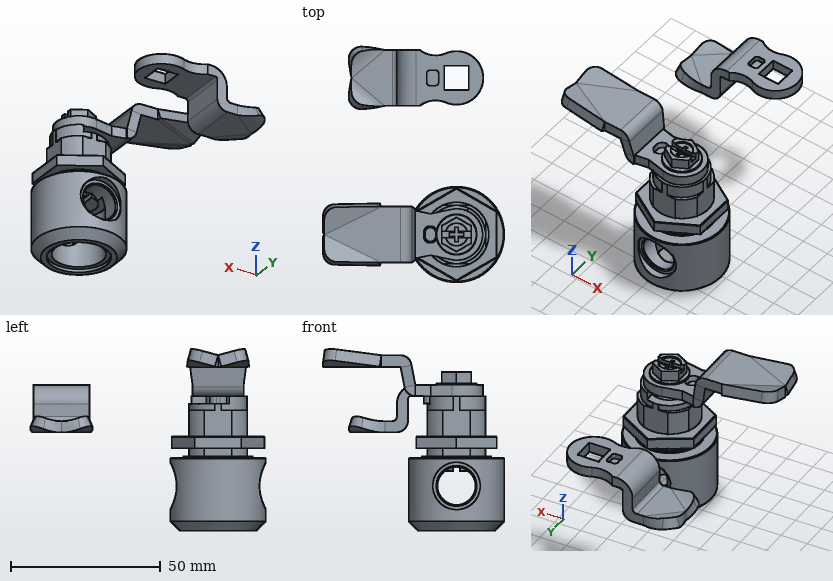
import cadquery as cq
import math

knob_diameter = 32.0
knob_height = 24.45
knob_foot_chamfer = 3.2
knob_top_chamfer = 0.3
cross_hole_height = 15.1
cross_hole_diameter = 12.7
cross_hole_mouth_diameter = 13.6
cross_recess_diameter = 15.85
cross_recess_floor = 13.4
keyway_diameter = 18.3
keyway_mouth_diameter = 21.6
keyway_mouth_depth = 1.2

gasket_diameter = 23.5
gasket_thickness = 0.5
gasket_taper = 20.0

sleeve_diameter = 21.6
sleeve_flat = 9.8
sleeve_top = 45.1
neck_diameter = 19.4
neck_base = 40.3
rib_width = 2.2
stop_ledge = 42.5
stop_offset = 3.7

nut_across_flats = 27.0
nut_base = 27.6
nut_thickness = 4.0
nut_chamfer = 0.2

rotor_diameter = 13.0
rotor_base = 20.0
rotor_slot_width = 2.2
rotor_slot_depth = 1.9
drive_square = 8.05
rotor_neck_diameter = drive_square

flange_diameter = 13.6
flange_thickness = 0.5
flange_chamfer = 0.15
hex_across_flats = 9.9
hex_height = 3.9
dish_diameter = 7.6
dish_depth = 0.6
driver_slot_width = 2.2
driver_slot_depth = 1.9
cross_length = 4.9
cross_width = 1.0
cross_depth = 1.3

cam_thickness = 3.8
cam_half_width = 9.4
cam_top = sleeve_top + cam_thickness

cam_end_radius = 8.6
cam_end_x = 0.15
cam_bend_x = -13.7
cam_riser_tilt = 11.0
cam_tongue_base = 54.8
cam_tongue_thickness = 4.0
cam_tip_x = -44.25
cam_fold_x = -25.15
cam_corner_radius = 3.95
cam_wing_angle = 17.0
cam_bend_half_width = 8.5
neck_flare_half_width = 8.0
neck_waist_x = -8.7
neck_waist_half_width = 6.95
dimple_x = -8.75
dimple_length = 4.5
dimple_width = 5.7
dimple_draft = 0.5
dimple_depth = 1.9
peg_height = 2.5

spare_y = 52.4
spare_end_radius = 9.0
spare_waist_x = -6.7
spare_waist_half_width = 7.6
spare_shoulder_x = -12.3
spare_wall_x = -19.95
spare_upper_outer_bend = 6.3
spare_upper_inner_bend = 1.0
spare_lower_outer_bend = 3.95
spare_lower_inner_bend = 1.6
spare_tongue_base = 33.0
spare_tip_x = -35.2
spare_fold_x = -24.05
spare_corner_reach = 6.2
spare_corner_radius = 3.95
spare_roll_radius = 8.7
spare_dimple_x = -8.0
spare_dimple_length = 3.95
spare_dimple_width = 5.1
spare_dimple_corner = 1.0

reach = 47.3


def cylinder(diameter, bottom, top):
    return cq.Workplane("XY").workplane(offset=bottom).circle(diameter / 2).extrude(top - bottom)


def box(x_range, y_range, z_range):
    spans = [high - low for low, high in (x_range, y_range, z_range)]
    corner = (x_range[0], y_range[0], z_range[0])
    return cq.Workplane("XY").box(*spans, centered=False).translate(corner)


def hexagon(across_flats, bottom, height):
    """Hexagonal prism with flats facing +X and -X."""
    across_corners = across_flats / math.cos(math.radians(30))
    prism = cq.Workplane("XY").polygon(6, across_corners).extrude(height)
    return prism.rotate((0, 0, 0), (0, 0, 1), 30).translate((0, 0, bottom))


def make_knob():
    knob = cylinder(knob_diameter, 0, knob_height)
    knob = knob.faces("<Z").chamfer(knob_foot_chamfer)
    knob = knob.faces(">Z").chamfer(knob_top_chamfer)
    knob = knob.cut(cylinder(rotor_diameter, 0, knob_height))
    knob = knob.cut(cylinder(keyway_diameter, 0, rotor_base))
    knob = knob.cut(cylinder(keyway_mouth_diameter, 0, keyway_mouth_depth))

    middle = cq.Workplane("XZ", origin=(0, 0, cross_hole_height))
    knob = knob.cut(middle.circle(cross_hole_diameter / 2).extrude(reach, both=True))
    mouth_chamfer = (cross_hole_mouth_diameter - cross_hole_diameter) / 2
    for side in (-1, 1):
        floor = cq.Workplane("XZ", origin=(0, side * cross_recess_floor, cross_hole_height))
        recess = floor.circle(cross_recess_diameter / 2).extrude(-side * reach)
        mouth = (
            floor.circle(cross_hole_mouth_diameter / 2)
            .workplane(offset=side * mouth_chamfer)
            .circle(cross_hole_diameter / 2)
            .loft()
        )
        knob = knob.cut(recess).cut(mouth)
    return knob


def make_gasket():
    top = knob_height + gasket_thickness
    disc = cq.Workplane("XY").workplane(offset=knob_height).circle(gasket_diameter / 2)
    gasket = disc.extrude(gasket_thickness, taper=gasket_taper)
    return gasket.cut(cylinder(sleeve_diameter, knob_height, top))


def make_sleeve():
    across = (-sleeve_flat, sleeve_flat)
    sleeve = cylinder(sleeve_diameter, knob_height, sleeve_top)
    sleeve = sleeve.intersect(box(across, across, (knob_height, sleeve_top)))

    rib = (-rib_width / 2, rib_width / 2)
    neck_span = (neck_base, sleeve_top)
    neck = cylinder(neck_diameter, *neck_span)
    neck = neck.union(box(across, rib, neck_span)).union(box(rib, across, neck_span))
    sleeve = sleeve.cut(box((-reach, reach), (-reach, reach), neck_span).cut(neck))

    stop_gap = box((-reach, stop_offset), (-stop_offset, reach), (stop_ledge, sleeve_top))
    sleeve = sleeve.cut(stop_gap)
    sleeve = sleeve.cut(cylinder(rotor_diameter, knob_height, stop_ledge))
    return sleeve.cut(cylinder(rotor_neck_diameter, stop_ledge, sleeve_top))


def make_nut():
    nut = hexagon(nut_across_flats, nut_base, nut_thickness).faces(">Z").chamfer(nut_chamfer)
    return nut.cut(cylinder(sleeve_diameter, nut_base, nut_base + nut_thickness))


def make_rotor():
    rotor = cylinder(rotor_diameter, rotor_base, stop_ledge)
    rotor = rotor.union(cylinder(rotor_neck_diameter, stop_ledge, sleeve_top))
    square = (-drive_square / 2, drive_square / 2)
    rotor = rotor.union(box(square, square, (sleeve_top, cam_top)))
    half_slot = rotor_slot_width / 2
    slot_span = (rotor_base, rotor_base + rotor_slot_depth)
    return rotor.cut(box((-half_slot, half_slot), (-reach, reach), slot_span))


def make_screw():
    flange_top = cam_top + flange_thickness
    hex_top = flange_top + hex_height
    screw = cylinder(flange_diameter, cam_top, flange_top).faces(">Z").chamfer(flange_chamfer)
    screw = screw.union(hexagon(hex_across_flats, flange_top, hex_height))
    screw = screw.cut(cylinder(dish_diameter, hex_top - dish_depth, hex_top))

    half_slot = driver_slot_width / 2
    slot_floor = hex_top - driver_slot_depth
    screw = screw.cut(box((-reach, reach), (-half_slot, half_slot), (slot_floor, hex_top)))

    long_side = (-cross_length / 2, cross_length / 2)
    short_side = (-cross_width / 2, cross_width / 2)
    cross_span = (slot_floor - cross_depth, hex_top)
    for x_range, y_range in ((long_side, short_side), (short_side, long_side)):
        screw = screw.cut(box(x_range, y_range, cross_span))
    return screw


def round_edge(body, x, y, z, radius):
    """Round the edge whose middle lies at (x, y, z)."""
    return body.edges(cq.selectors.NearestToPointSelector((x, y, z))).fillet(radius)


def square_hole():
    square = (-drive_square / 2, drive_square / 2)
    return box(square, square, (sleeve_top, cam_top))


def fold_line(tip_x, fold_x, top):
    """Plane with X along the fold from the tip point to the side edge, Y outwards across it and Z up."""
    along = (fold_x - tip_x, cam_half_width, 0)
    return cq.Plane(origin=(tip_x, 0, top), xDir=along, normal=(0, 0, 1))


def make_folded_wing(tip_x, fold_x, base, thickness, angle, corner_radius):
    """Flat corner turned up about the top edge of the fold, with the gap under the fold filled."""
    fold = fold_line(tip_x, fold_x, base + thickness)
    fold_length = math.hypot(fold_x - tip_x, cam_half_width)
    corner = (
        cq.Workplane("XY")
        .workplane(offset=base)
        .polyline([(tip_x, 0), (fold_x, cam_half_width), (tip_x, cam_half_width)])
        .close()
        .extrude(thickness)
    )
    corner = round_edge(corner, tip_x, cam_half_width, base + thickness / 2, corner_radius)
    fold_end = fold.toWorldCoords((fold_length, 0, 0)).toTuple()
    corner = corner.rotate(fold.origin.toTuple(), fold_end, angle)

    upright = cq.Plane(origin=fold.origin, xDir=fold.xDir, normal=-fold.yDir)
    gap = (
        cq.Workplane(upright)
        .polyline([(0, 0), (fold_length, 0), (fold_length, -thickness), (0, -thickness)])
        .close()
        .revolve(angle, (0, 0), (1, 0))
    )
    return corner.union(gap)


def make_rolled_wing(tip_x, fold_x, base, thickness, roll_radius, corner_reach, corner_radius):
    """Corner rolled up smoothly from the fold; its edges stand square to the rolled surface."""
    top = base + thickness
    fold = fold_line(tip_x, fold_x, top)
    outer_radius = roll_radius + thickness
    square_corner = cq.Vector(tip_x, cam_half_width, top)
    corner_along = fold.toLocalCoords(square_corner).x
    corner_turn = corner_reach / roll_radius

    section = cq.Plane(origin=fold.origin, xDir=fold.yDir, normal=fold.xDir)
    ring = cq.Workplane(section).center(0, roll_radius).circle(outer_radius).circle(roll_radius)
    shell = ring.extrude(reach, both=True)
    quarter = (
        cq.Workplane(section)
        .rect(outer_radius, thickness + roll_radius, centered=False)
        .extrude(reach, both=True)
        .translate((0, 0, -thickness))
    )
    shell = shell.intersect(quarter)

    def rolled_corner(radius):
        across = radius * math.sin(corner_turn)
        rise = roll_radius - radius * math.cos(corner_turn)
        return fold.toWorldCoords((corner_along, across, rise))

    under_corner = rolled_corner(outer_radius)
    top_corner = rolled_corner(roll_radius)
    lean = (top_corner - under_corner) * (1 / (top_corner.z - under_corner.z))

    def corner_at(height):
        return under_corner + lean * (height - under_corner.z)

    def outline_at(height):
        end = corner_at(height)
        return cq.Wire.makePolygon(
            [cq.Vector(tip_x, 0, height), cq.Vector(fold_x, cam_half_width, height), end], close=True
        )

    ceiling = top + roll_radius / 2
    outline = cq.Workplane(cq.Solid.makeLoft([outline_at(base), outline_at(ceiling)], True))
    middle = corner_at((base + ceiling) / 2)
    outline = round_edge(outline, middle.x, middle.y, middle.z, corner_radius)
    return shell.intersect(outline)


def make_tongue(tip_x, root_x, fold_x, base, thickness, wing):
    """Flat tongue, pointed between its fold lines, with the wing on both sides."""
    middle = (
        cq.Workplane("XY")
        .workplane(offset=base)
        .polyline([
            (tip_x, 0),
            (fold_x, cam_half_width),
            (root_x, cam_half_width),
            (root_x, -cam_half_width),
            (fold_x, -cam_half_width),
        ])
        .close()
        .extrude(thickness)
    )
    return middle.union(wing).union(wing.mirror("XZ"))


def make_cam():
    tilt = math.radians(cam_riser_tilt)
    shift_x = cam_thickness * math.cos(tilt)
    shift_z = cam_thickness * math.sin(tilt)
    tongue_top = cam_tongue_base + cam_tongue_thickness
    inner_x = cam_bend_x - shift_x - (cam_tongue_base - cam_top + shift_z) * math.tan(tilt)

    lower_mid_turn = (tilt - math.pi - math.pi / 2) / 2
    upper_mid_turn = (tilt + math.pi / 2) / 2
    upper_mid_radius = (cam_thickness + cam_tongue_thickness) / 2
    lower_mid_x = cam_bend_x + cam_thickness * math.cos(lower_mid_turn)
    lower_mid_z = cam_top + cam_thickness * math.sin(lower_mid_turn)
    upper_mid_x = inner_x + upper_mid_radius * math.cos(upper_mid_turn)
    upper_mid_z = cam_tongue_base + upper_mid_radius * math.sin(upper_mid_turn)
    riser = (
        cq.Workplane("XZ")
        .moveTo(cam_bend_x, cam_top)
        .lineTo(cam_bend_x, sleeve_top)
        .threePointArc((lower_mid_x, lower_mid_z), (cam_bend_x - shift_x, cam_top - shift_z))
        .lineTo(inner_x, cam_tongue_base)
        .lineTo(inner_x, tongue_top)
        .threePointArc((upper_mid_x, upper_mid_z), (inner_x + shift_x, cam_tongue_base + shift_z))
        .close()
        .extrude(cam_half_width, both=True)
    )
    facing = cq.Plane(
        origin=(cam_bend_x, 0, cam_top), xDir=(0, 1, 0), normal=(math.cos(tilt), 0, math.sin(tilt))
    )
    riser_length = (cam_tongue_base - cam_top + shift_z) / math.cos(tilt)
    right_side = [
        (cam_bend_half_width, -reach),
        (cam_bend_half_width, 0),
        (cam_half_width, riser_length),
        (cam_half_width, reach),
    ]
    left_side = [(-y, height) for y, height in reversed(right_side)]
    riser_outline = cq.Workplane(facing).polyline(right_side + left_side).close().extrude(reach, both=True)
    riser = riser.intersect(riser_outline)

    waist_run = neck_waist_x - cam_end_x
    waist_distance = math.hypot(waist_run, neck_waist_half_width)
    touch = math.atan2(neck_waist_half_width, waist_run) - math.acos(cam_end_radius / waist_distance)
    touch_x = cam_end_x + cam_end_radius * math.cos(touch)
    touch_y = cam_end_radius * math.sin(touch)
    plate = (
        cq.Workplane("XY")
        .workplane(offset=sleeve_top)
        .moveTo(cam_bend_x, -neck_flare_half_width)
        .lineTo(neck_waist_x, -neck_waist_half_width)
        .lineTo(touch_x, -touch_y)
        .threePointArc((cam_end_x + cam_end_radius, 0), (touch_x, touch_y))
        .lineTo(neck_waist_x, neck_waist_half_width)
        .lineTo(cam_bend_x, neck_flare_half_width)
        .close()
        .extrude(cam_thickness)
    )

    wing = make_folded_wing(
        cam_tip_x, cam_fold_x, cam_tongue_base, cam_tongue_thickness, cam_wing_angle, cam_corner_radius
    )
    tongue = make_tongue(cam_tip_x, inner_x, cam_fold_x, cam_tongue_base, cam_tongue_thickness, wing)
    cam = plate.union(riser).union(tongue).cut(square_hole())

    def slot_at(height):
        plane = cq.Workplane("XY", origin=(dimple_x, 0, height))
        return plane.slot2D(dimple_width, dimple_length, 90)

    dimple_taper = math.degrees(math.atan2(dimple_draft, dimple_depth))
    dimple = slot_at(cam_top).extrude(-dimple_depth, taper=dimple_taper)
    peg = slot_at(sleeve_top).extrude(-peg_height)
    return cam.cut(dimple).union(peg)


def make_spare_cam():
    inner_wall_x = spare_wall_x + cam_thickness
    tongue_top = spare_tongue_base + cam_thickness
    strip = (
        cq.Workplane("XZ")
        .polyline([
            (spare_fold_x, spare_tongue_base),
            (inner_wall_x, spare_tongue_base),
            (inner_wall_x, sleeve_top),
            (spare_shoulder_x, sleeve_top),
            (spare_shoulder_x, cam_top),
            (spare_wall_x, cam_top),
            (spare_wall_x, tongue_top),
            (spare_fold_x, tongue_top),
        ])
        .close()
        .extrude(cam_half_width, both=True)
    )
    strip = round_edge(strip, spare_wall_x, 0, cam_top, spare_upper_outer_bend)
    strip = round_edge(strip, inner_wall_x, 0, sleeve_top, spare_upper_inner_bend)
    strip = round_edge(strip, inner_wall_x, 0, spare_tongue_base, spare_lower_outer_bend)
    strip = round_edge(strip, spare_wall_x, 0, tongue_top, spare_lower_inner_bend)

    waist_distance_squared = spare_waist_x**2 + spare_waist_half_width**2
    narrowing = spare_end_radius - spare_waist_half_width
    waist_radius = (waist_distance_squared - spare_end_radius**2) / (2 * narrowing)
    blend_share = spare_end_radius / (spare_end_radius + waist_radius)
    blend_x = spare_waist_x * blend_share
    blend_y = (spare_waist_half_width + waist_radius) * blend_share
    plate = (
        cq.Workplane("XY")
        .workplane(offset=sleeve_top)
        .moveTo(spare_shoulder_x, -cam_half_width)
        .threePointArc((spare_waist_x, -spare_waist_half_width), (blend_x, -blend_y))
        .threePointArc((spare_end_radius, 0), (blend_x, blend_y))
        .threePointArc((spare_waist_x, spare_waist_half_width), (spare_shoulder_x, cam_half_width))
        .close()
        .extrude(cam_thickness)
    )

    wing = make_rolled_wing(
        spare_tip_x,
        spare_fold_x,
        spare_tongue_base,
        cam_thickness,
        spare_roll_radius,
        spare_corner_reach,
        spare_corner_radius,
    )
    root_x = spare_wall_x - spare_lower_inner_bend
    tongue = make_tongue(spare_tip_x, root_x, spare_fold_x, spare_tongue_base, cam_thickness, wing)
    spare = plate.union(strip).union(tongue).cut(square_hole())
    dimple = (
        cq.Workplane("XY")
        .workplane(offset=cam_top)
        .center(spare_dimple_x, 0)
        .rect(spare_dimple_length, spare_dimple_width)
        .extrude(-dimple_depth)
        .edges("|Z")
        .fillet(spare_dimple_corner)
    )
    return spare.cut(dimple).translate((0, spare_y, 0))


knob = make_knob()
gasket = make_gasket()
sleeve = make_sleeve()
nut = make_nut()
rotor = make_rotor()
screw = make_screw()
cam = make_cam()
spare_cam = make_spare_cam()

result = cq.Compound.makeCompound([
    knob.val(),
    gasket.val(),
    sleeve.val(),
    nut.val(),
    rotor.val(),
    screw.val(),
    cam.val(),
    spare_cam.val(),
])